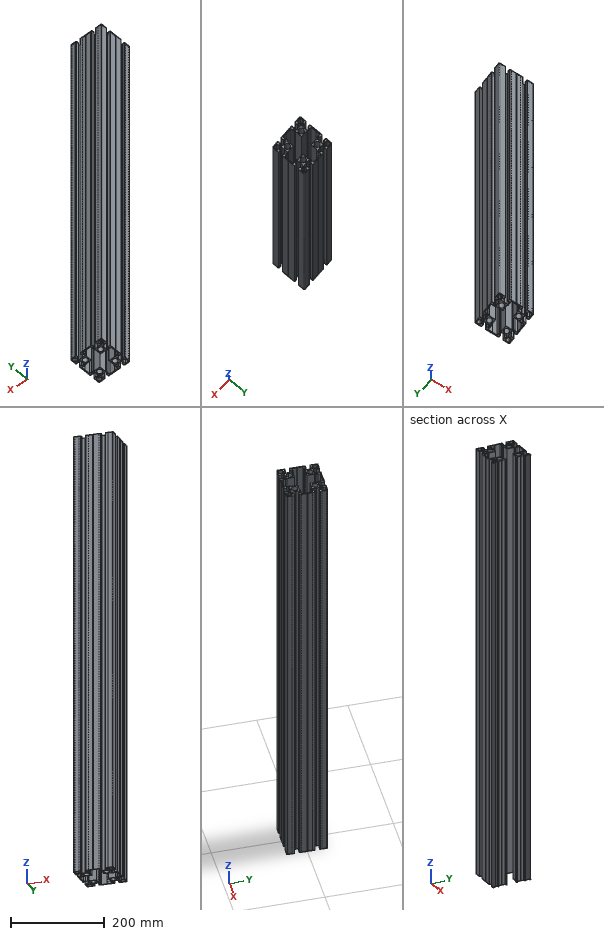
import cadquery as cq

length = 1000.0
side = 90.0
half_side = side / 2
corner_radius = 2.0

module = side / 2
slot_center = module / 2
slot_opening = 10.0
slot_width = 18.0
lip_thickness = 7.0
lip_chamfer = 0.8
slot_depth = 13.0
slot_taper = 1.7
floor_groove_width = 1.0
floor_groove_depth = 1.0
slot_floor = half_side - slot_depth

wall = 2.5
web = 1.7
core_half_width = 9.0
core_hole_diameter = 13.0

mark_width = 2.0
mark_depth = 1.0

SIDE_ANGLES = [0, 90, 180, 270]


def bar(width, depth):
    """Full-length rectangular bar around the Z axis, standing on Z = 0."""
    return cq.Workplane("XY").rect(width, depth).extrude(length)


def prism(points):
    """Closed outline extruded over the full length."""
    return cq.Workplane("XY").polyline(points).close().extrude(length)


def turned(cutter, angle):
    """Cutter turned about the Z axis."""
    return cutter.rotate((0, 0, 0), (0, 0, 1), angle)


def t_slot(center):
    """T-slot opening toward +Y, with a narrowing bottom and a fine groove in its floor."""
    opening = slot_opening / 2
    inside = slot_width / 2
    under_lip = half_side - lip_thickness
    right_half = [
        (floor_groove_width / 2, slot_floor),
        (inside - slot_taper, slot_floor),
        (inside, slot_floor + slot_taper),
        (inside, under_lip),
        (opening, under_lip),
        (opening, half_side - lip_chamfer),
        (opening + lip_chamfer, half_side),
    ]
    left_half = [(-x, y) for x, y in reversed(right_half)]
    groove_tip = (0, slot_floor - floor_groove_depth)
    outline = right_half + left_half + [groove_tip]
    return prism([(center + x, y) for x, y in outline])


def marking_groove():
    """Fine V-groove along the middle of the +Y side."""
    half_width = mark_width / 2
    return prism([(-half_width, half_side), (0, half_side - mark_depth), (half_width, half_side)])


def cross_cavity():
    """Central cross-shaped hollow whose arms narrow beside the T-slots."""
    arm_width = 2 * (slot_center - core_half_width)
    arm_length = 2 * (slot_floor - web)
    end_width = 2 * (slot_center - slot_width / 2 - web)
    end_length = 2 * (half_side - wall)
    arm = bar(arm_width, arm_length).union(bar(end_width, end_length))
    return arm.union(turned(arm, 90))


def corner_cavities():
    """Square hollow in each of the four outer corners."""
    inner = slot_center + slot_width / 2 + web
    outer = half_side - wall
    pitch = inner + outer
    cavity_width = outer - inner
    return cq.Workplane("XY").rarray(pitch, pitch, 2, 2).rect(cavity_width, cavity_width).extrude(length)


def core_holes():
    """Round hole through each of the four cores, where the slot centerlines cross."""
    return cq.Workplane("XY").rarray(module, module, 2, 2).circle(core_hole_diameter / 2).extrude(length)


blank = bar(side, side).edges("|Z").fillet(corner_radius)
result = blank.cut(cross_cavity()).cut(corner_cavities()).cut(core_holes())
for angle in SIDE_ANGLES:
    for cutter in (t_slot(-slot_center), t_slot(slot_center), marking_groove()):
        result = result.cut(turned(cutter, angle))